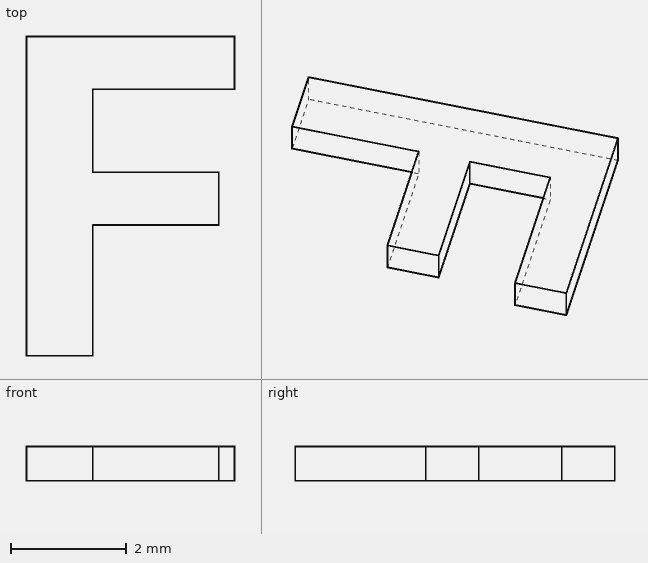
import cadquery as cq

width = 3.6
height = 5.53
thickness = 0.6

stem_width = 1.15
arm_width = 0.92
arm_gap = 1.43
middle_reach = 3.33

top_arm_bottom = height - arm_width
middle_arm_top = top_arm_bottom - arm_gap
middle_arm_bottom = middle_arm_top - arm_width

outline = [
    (0, 0),
    (stem_width, 0),
    (stem_width, middle_arm_bottom),
    (middle_reach, middle_arm_bottom),
    (middle_reach, middle_arm_top),
    (stem_width, middle_arm_top),
    (stem_width, top_arm_bottom),
    (width, top_arm_bottom),
    (width, height),
    (0, height),
]

result = cq.Workplane("XY").polyline(outline).close().extrude(thickness)